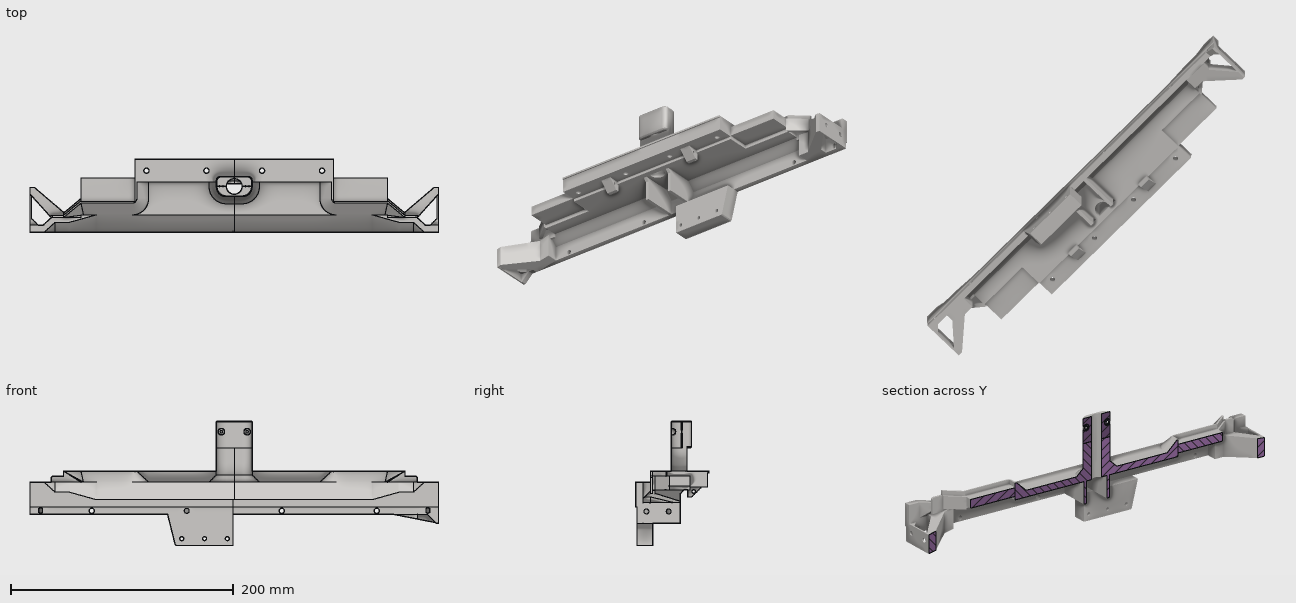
import cadquery as cq
import math

HALF_LENGTH = 183.6
DEPTH = 66.0
HEIGHT = 112.0

BASE_Z = 28.0
STEP_Z = 34.5
STEP_DEPTH = 1.2
DECK_Z = 57.0
DECK_BOTTOM_Z = 50.0
DECK_BACK_Y = 49.0
SLOPE_RUN = 15.8
SLOPE_FOOT_Z = DECK_Z - SLOPE_RUN
FRONT_WALL = 6.5
CAVITY_SLOPE_Z = 42.0
SPLIT_OFFSET = 1.0

SLOPE_END_X = 124.0
SCALLOP_INNER_X = 148.0
SCALLOP_OUTER_X = 161.0
SCALLOP_TIP_X = 171.0
SCALLOP_RUN = 9.1

END_WALL = 1.5
END_WALL_BACK_Y = 40.4
END_WALL_TOP_Z = 46.6
RIGHT_END_DROP = 8.0
END_TOE_X = 173.6
END_TOE_WIDTH = 2.1
POST_X = 172.0
LEDGE_X = 164.5
LEDGE_BACK_Y = 13.3
LEDGE_FIN = 2.1
FIN_TOP_Z = 62.4
FIN_CHAMFER = 1.2
ARM_ROOT_X = 142.7
ARM_ROOT_RISE = 3.0
ARM_TIP_X = 179.5
ARM_ELBOW = (152.5, 17.4)
ARM_INNER_TIP_Y = 34.5
CORNER_GUSSET = 6.0
END_HOLE_D = 4.4
END_HOLE_Y = (9.8, 29.8)
END_HOLE_Z = 38.6

CREST_Z = 66.9
HILL_RISE = CREST_Z - DECK_Z
HILL_RUN = 10.6
HILL_FOOT_X = 77.0
HILL_FOOT_Y = SLOPE_RUN
HILL_CREST_Y = HILL_FOOT_Y + HILL_RUN
HILL_CORNER_R = 14.5
HILL_END_X = 137.8
HILL_LIP = 1.2
HORN_FOOT_X = 135.5
HILL_HORN = (153.5, LEDGE_BACK_Y)
HORN_WALL = 2.0
HORN_BASE_WALL = 4.1

PLATFORM_BOTTOM_Z = 53.5
PLATFORM_TOP_Z = FIN_TOP_Z

RAIL_HALF = 89.3
RAIL_FRONT_Y = 45.4
RAIL_BOTTOM_Z = 52.6
RAIL_LIP = 1.2
RAIL_LIP_Z = 65.3
RAIL_HOLE_D = 4.5
RAIL_HOLE_X = (25.0, 78.9)
RAIL_HOLE_Y = 55.5
LUG_X = 40.0
LUG_WIDTH = 10.0
LUG_BOTTOM_Z = 43.5
LUG_FRONT_Y = 46.8
LUG_TOE = 3.5
LUG_BACK_Y = LUG_FRONT_Y + LUG_TOE + RAIL_BOTTOM_Z - LUG_BOTTOM_Z
LUG_HOLE_D = 3.0
LUG_HOLE_Y = 52.3
LUG_HOLE_Z = 48.5

TOWER_HALF = 16.2
TOWER_FRONT_Y = 32.1
TOWER_BACK_Y = 46.4
TOWER_ROUND_R = 9.0
TOWER_FLARE = 6.4
TOWER_RIB = 3.0
TOWER_RIB_X = 11.0
TOWER_RIB_BACK_Y = 43.5
CLAMP_Y = TOWER_FRONT_Y + TOWER_ROUND_R
CLAMP_Z = 87.7
CLAMP_GAP = 0.8
TOP_CHAMFER = 0.8
BUMP_BACK_Y = 50.5
BUMP_CORNER_R = 4.0
BUMP_BOTTOM_CHAMFER = 1.2
BORE_D = 14.0
BORE_Y = 41.4
BORE_BACK_Y = 43.7

SCREW_X = 11.6
SCREW_Z = 102.3
SCREW_SEAT_D = 6.0
SCREW_HEAD_D = 5.5
SCREW_D = 3.0
SCREW_SOCKET_D = 2.5
SCREW_SOCKET_DEPTH = 2.0
SCREW_HEAD_Y = 36.0
SCREW_SEAT_Y = 39.0
SCREW_TIP_Y = 45.0

FRONT_HOLE_D = 4.5
FRONT_HOLE_X = (42.7, 128.1)
FRONT_HOLE_Z = 31.2
BLIND_HOLE_DEPTH = 3.0
SLOT_X = 173.9
SLOT_WIDTH = 3.4
SLOT_HEIGHT = 5.0
SLOT_Z = 31.5
FOOT_TOP_X = -60.0
FOOT_BOTTOM_X = -53.0
FOOT_BACK_Y = 15.5
FOOT_CHAMFER = 0.8
FOOT_HOLE_D = 3.4
FOOT_HOLE_X = (-47.2, -26.7, -6.2)
FOOT_HOLE_Z = 6.2


def box(x_range, y_range, z_range):
    """Box between two limits along each axis."""
    size = [high - low for low, high in (x_range, y_range, z_range)]
    low_corner = (x_range[0], y_range[0], z_range[0])
    return cq.Workplane("XY").box(*size, centered=False).translate(low_corner)


def plan_prism(points, z_range):
    """Prism with an outline in X and Y."""
    outline = cq.Workplane("XY").workplane(offset=z_range[0]).polyline(points).close()
    return outline.extrude(z_range[1] - z_range[0])


def front_prism(points, y_range):
    """Prism with an outline in X and Z."""
    outline = cq.Workplane("XZ", origin=(0, y_range[0], 0)).polyline(points).close()
    return outline.extrude(y_range[0] - y_range[1])


def side_prism(points, x_range):
    """Prism with an outline in Y and Z."""
    outline = cq.Workplane("YZ", origin=(x_range[0], 0, 0)).polyline(points).close()
    return outline.extrude(x_range[1] - x_range[0])


def rod_y(diameter, x, z, y_range):
    """Round bar along Y."""
    plane = cq.Workplane("XZ", origin=(x, y_range[0], z))
    return plane.circle(diameter / 2).extrude(y_range[0] - y_range[1])


def rod_x(diameter, y, z, x_range):
    """Round bar along X."""
    plane = cq.Workplane("YZ", origin=(x_range[0], y, z))
    return plane.circle(diameter / 2).extrude(x_range[1] - x_range[0])


def polyhedron(faces):
    """Solid closed by flat faces, each a list of corner points."""
    flat_faces = []
    for corners in faces:
        points = [cq.Vector(*corner) for corner in corners]
        flat_faces.append(cq.Face.makeFromWires(cq.Wire.makePolygon(points, close=True)))
    return cq.Workplane(cq.Solid.makeSolid(cq.Shell.makeShell(flat_faces)))


def slope_corners(x, run):
    """Corner, front and back points of the 45 degree triangle cut from the front top edge."""
    return (x, 0, DECK_Z), (x, 0, DECK_Z - run), (x, run, DECK_Z)


def slope_cutter():
    """Material removed above the sloped face and its scalloped end, left half."""
    stations = [
        slope_corners(0, SLOPE_RUN),
        slope_corners(-SLOPE_END_X, SLOPE_RUN),
        slope_corners(-SCALLOP_INNER_X, SCALLOP_RUN),
        slope_corners(-SCALLOP_OUTER_X, SCALLOP_RUN),
    ]
    faces = [stations[0]]
    for near, far in zip(stations, stations[1:]):
        for a, b in ((0, 1), (1, 2), (2, 0)):
            faces.append([near[a], near[b], far[b], far[a]])
    last = stations[-1]
    tip = (-SCALLOP_TIP_X, 0, DECK_Z)
    faces.append([last[1], last[2], tip])
    faces.append([last[0], last[1], tip])
    faces.append([last[2], last[0], tip])
    return polyhedron(faces)


def cavity(x_range):
    """Hollow below the hood, open at the back and at the bottom."""
    slope = DECK_BOTTOM_Z - CAVITY_SLOPE_Z
    outline = [
        (FRONT_WALL, BASE_Z),
        (FRONT_WALL, CAVITY_SLOPE_Z),
        (FRONT_WALL + slope, DECK_BOTTOM_Z),
        (DEPTH, DECK_BOTTOM_Z),
        (DEPTH, BASE_Z),
    ]
    return side_prism(outline, x_range)


def rib():
    """Cross rib inside the hood, beside the tower bore."""
    span = (-TOWER_RIB_X - TOWER_RIB, -TOWER_RIB_X)
    outline = [
        (0, BASE_Z),
        (0, DECK_BOTTOM_Z),
        (TOWER_RIB_BACK_Y, DECK_BOTTOM_Z),
        (END_WALL_BACK_Y, END_WALL_TOP_Z),
        (END_WALL_BACK_Y, BASE_Z),
    ]
    return side_prism(outline, span).intersect(cavity(span))


def hood_shell():
    """Front wall, sloped face, channel floor and end ledge, hollow underneath."""
    plan = [
        (-HALF_LENGTH, 0),
        (0, 0),
        (0, DECK_BACK_Y),
        (-HILL_END_X, DECK_BACK_Y),
        (-HILL_END_X, LEDGE_BACK_Y),
        (-LEDGE_X, LEDGE_BACK_Y),
        (-POST_X, FRONT_WALL),
        (-HALF_LENGTH, FRONT_WALL),
    ]
    shell = plan_prism(plan, (BASE_Z, DECK_Z)).cut(cavity((-HALF_LENGTH, 0)))
    front_step = box((-HALF_LENGTH, 0), (0, STEP_DEPTH), (BASE_Z, STEP_Z))
    return shell.cut(slope_cutter()).cut(front_step)


def hill():
    """Raised end of the channel with a conical inner corner."""
    far = 2 * HALF_LENGTH
    taper = math.degrees(math.atan(HILL_RUN / HILL_RISE))
    mound = (
        cq.Workplane("XY", origin=(-HILL_FOOT_X - far / 2, HILL_FOOT_Y + far / 2, DECK_Z))
        .sketch().rect(far, far).vertices().fillet(HILL_CORNER_R).finalize()
        .extrude(HILL_RISE, taper=taper)
    )
    limits = box((-HILL_END_X, -HILL_FOOT_X), (HILL_FOOT_Y, RAIL_FRONT_Y), (DECK_Z, CREST_Z))
    return mound.intersect(limits)


def horn_wall(thickness, z_range):
    """Upright wall running diagonally from the hill crest to the tip of the horn."""
    horn_x, horn_y = HILL_HORN
    outline = [
        (-HILL_END_X, HILL_CREST_Y),
        (-horn_x, horn_y),
        (-horn_x, horn_y + thickness),
        (-HILL_END_X, HILL_CREST_Y + thickness),
    ]
    return plan_prism(outline, z_range)


def horn():
    """Wall from the hill crest forward to the ledge, with a sloped facet and a low fin."""
    horn_x, horn_y = HILL_HORN
    crest = (-HILL_END_X, HILL_CREST_Y, CREST_Z)
    tip = (-horn_x, horn_y, CREST_Z)
    foot = (-HORN_FOOT_X, HILL_FOOT_Y, DECK_Z)
    below_crest = (-HILL_END_X, HILL_CREST_Y, DECK_Z)
    below_tip = (-horn_x, horn_y, DECK_Z)
    facet = polyhedron([
        [crest, tip, foot],
        [crest, below_crest, below_tip, tip],
        [tip, below_tip, foot],
        [crest, foot, below_crest],
        [foot, below_tip, below_crest],
    ])
    fin = front_prism(
        [
            (-LEDGE_X, END_WALL_TOP_Z),
            (-LEDGE_X, FIN_TOP_Z - FIN_CHAMFER),
            (-LEDGE_X + FIN_CHAMFER, FIN_TOP_Z),
            (-horn_x, FIN_TOP_Z),
            (-horn_x, CREST_Z),
            (-HILL_END_X, DECK_Z),
            (-HILL_END_X, END_WALL_TOP_Z),
        ],
        (LEDGE_BACK_Y, LEDGE_BACK_Y + LEDGE_FIN),
    )
    upper_wall = horn_wall(HORN_WALL, (FIN_TOP_Z, CREST_Z))
    lower_wall = horn_wall(HORN_BASE_WALL, (DECK_BOTTOM_Z, FIN_TOP_Z))
    return facet.union(upper_wall).union(lower_wall).union(fin)


def rail():
    """Half of the back rail with its lip, screw holes and hinge lug."""
    bar = side_prism(
        [
            (RAIL_FRONT_Y, RAIL_BOTTOM_Z),
            (RAIL_FRONT_Y, CREST_Z),
            (DEPTH, CREST_Z),
            (DEPTH, RAIL_LIP_Z),
            (DEPTH - RAIL_LIP, RAIL_LIP_Z),
            (DEPTH - RAIL_LIP, RAIL_BOTTOM_Z),
        ],
        (-RAIL_HALF, 0),
    )
    lug_span = (-LUG_X - LUG_WIDTH, -LUG_X)
    lug = side_prism(
        [
            (LUG_FRONT_Y, RAIL_BOTTOM_Z),
            (LUG_FRONT_Y, LUG_BOTTOM_Z),
            (LUG_FRONT_Y + LUG_TOE, LUG_BOTTOM_Z),
            (LUG_BACK_Y, RAIL_BOTTOM_Z),
        ],
        lug_span,
    )
    bar = bar.union(lug.cut(rod_x(LUG_HOLE_D, LUG_HOLE_Y, LUG_HOLE_Z, lug_span)))
    holes = cq.Workplane("XY", origin=(0, RAIL_HOLE_Y, RAIL_BOTTOM_Z))
    holes = holes.pushPoints([(-x, 0) for x in RAIL_HOLE_X])
    return bar.cut(holes.circle(RAIL_HOLE_D / 2).extrude(CREST_Z - RAIL_BOTTOM_Z))


def tower_sketch(z):
    """Tower outline: flat back and two rounded front corners."""
    depth = TOWER_BACK_Y - TOWER_FRONT_Y
    return (
        cq.Workplane("XY", origin=(0, TOWER_FRONT_Y + depth / 2, z))
        .sketch().rect(2 * TOWER_HALF, depth).vertices("<Y").fillet(TOWER_ROUND_R).finalize()
    )


def tower_bore():
    """Cable bore: round in the clamp, flat-backed below it."""
    clamp_bore = cq.Workplane("XY", origin=(0, BORE_Y, CLAMP_Z)).circle(BORE_D / 2)
    clamp_bore = clamp_bore.extrude(HEIGHT - CLAMP_Z)
    lower_bore = cq.Workplane("XY", origin=(0, BORE_Y, BASE_Z)).circle(BORE_D / 2)
    lower_bore = lower_bore.extrude(CLAMP_Z - BASE_Z)
    keep = box((-BORE_D, BORE_D), (0, BORE_BACK_Y), (BASE_Z, CLAMP_Z))
    return clamp_bore.union(lower_bore.intersect(keep))


def tower():
    """Whole tower with its flared base and the rear bump of the clamp."""
    column = tower_sketch(DECK_BOTTOM_Z).extrude(HEIGHT - DECK_BOTTOM_Z)
    flare_z = DECK_Z + TOWER_FLARE
    flare = tower_sketch(flare_z).extrude(-TOWER_FLARE, taper=-45)
    flare = flare.intersect(box((-DEPTH, DEPTH), (0, RAIL_FRONT_Y), (DECK_Z, flare_z)))
    bump = box((-TOWER_HALF, TOWER_HALF), (CLAMP_Y, BUMP_BACK_Y), (CLAMP_Z, HEIGHT))
    bump = bump.edges("|Z and >Y").fillet(BUMP_CORNER_R)
    bump = bump.faces("<Z").edges(">Y").chamfer(BUMP_BOTTOM_CHAMFER)
    column = column.union(bump).faces(">Z").edges().chamfer(TOP_CHAMFER)
    return column.union(flare)


def screw_holes():
    """Stepped holes for both clamp screws."""
    holes = cq.Workplane("XY")
    for x in (-SCREW_X, SCREW_X):
        holes = holes.union(rod_y(SCREW_SEAT_D, x, SCREW_Z, (0, SCREW_SEAT_Y)))
        holes = holes.union(rod_y(SCREW_D, x, SCREW_Z, (SCREW_SEAT_Y, SCREW_TIP_Y)))
    return holes


def end_frame(drop):
    """Left end wall, corner gusset and diagonal arm; `drop` lowers the wall and the tip of the arm."""
    bottom_z = BASE_Z - drop
    top_z = END_WALL_TOP_Z - drop
    end_inner_x = -HALF_LENGTH + END_WALL
    wall = box((-HALF_LENGTH, end_inner_x), (FRONT_WALL, END_WALL_BACK_Y), (bottom_z, top_z))
    gusset = plan_prism(
        [
            (end_inner_x, FRONT_WALL),
            (end_inner_x + CORNER_GUSSET, FRONT_WALL),
            (end_inner_x, FRONT_WALL + CORNER_GUSSET),
        ],
        (BASE_Z, top_z),
    )
    arm_plan = [
        (-HALF_LENGTH, END_WALL_BACK_Y),
        (-ARM_TIP_X, END_WALL_BACK_Y),
        (-ARM_ELBOW[0], ARM_ELBOW[1]),
        (-ARM_ROOT_X, ARM_ELBOW[1]),
        (-ARM_ROOT_X, FRONT_WALL),
        (-LEDGE_X, FRONT_WALL),
        (-LEDGE_X, LEDGE_BACK_Y),
        (-HALF_LENGTH, ARM_INNER_TIP_Y),
    ]
    arm_side = [
        (-ARM_ROOT_X, BASE_Z),
        (-ARM_ROOT_X, END_WALL_TOP_Z + ARM_ROOT_RISE),
        (-HALF_LENGTH, top_z),
        (-HALF_LENGTH, bottom_z),
    ]
    arm = plan_prism(arm_plan, (bottom_z, END_WALL_TOP_Z + ARM_ROOT_RISE))
    arm = arm.intersect(front_prism(arm_side, (0, DEPTH)))
    frame = wall.union(gusset).union(arm)
    for y in END_HOLE_Y:
        frame = frame.cut(rod_x(END_HOLE_D, y, END_HOLE_Z - drop, (-HALF_LENGTH, end_inner_x)))
    return frame


def right_end_toe():
    """Tapered toe that carries the front wall down to the lowered right end."""
    bottom_z = BASE_Z - RIGHT_END_DROP
    outline = [
        (END_TOE_X, BASE_Z),
        (HALF_LENGTH, BASE_Z),
        (HALF_LENGTH, bottom_z),
        (HALF_LENGTH - END_TOE_WIDTH, bottom_z),
    ]
    return front_prism(outline, (STEP_DEPTH, FRONT_WALL))


def platform_block():
    """Block lying behind the rim of the left hill."""
    return box(
        (-HILL_END_X, -RAIL_HALF),
        (HILL_CREST_Y + HILL_LIP, DECK_BACK_Y),
        (PLATFORM_BOTTOM_Z, PLATFORM_TOP_Z),
    )


def platform_pocket():
    """Open pocket that the platform block sits in."""
    return box(
        (-HILL_END_X, -RAIL_HALF),
        (HILL_CREST_Y + HILL_LIP, DEPTH),
        (DECK_BOTTOM_Z, CREST_Z),
    )


def hood_half(drop):
    """Left half of the hood, with the features that both halves share."""
    half = hood_shell().union(hill()).union(horn())
    half = half.cut(platform_pocket()).union(rail())
    half_tower = tower().intersect(box((-DEPTH, 0), (0, DEPTH), (0, HEIGHT)))
    clamp_space = box((-DEPTH, 0), (0, CLAMP_Y + CLAMP_GAP), (CLAMP_Z, HEIGHT))
    half = half.union(rib()).union(half_tower.cut(clamp_space))
    half = half.cut(tower_bore()).cut(screw_holes())
    half = half.union(end_frame(drop))
    slot = (
        cq.Workplane("XZ", origin=(-SLOT_X, 0, SLOT_Z))
        .slot2D(SLOT_HEIGHT, SLOT_WIDTH, 90).extrude(-FRONT_WALL)
    )
    half = half.cut(slot)
    return half.cut(rod_y(FRONT_HOLE_D, -FRONT_HOLE_X[1], FRONT_HOLE_Z, (0, FRONT_WALL)))


def foot():
    """Mounting foot below the front wall, with a slanted outer side."""
    block = front_prism(
        [
            (FOOT_TOP_X, BASE_Z),
            (FOOT_BOTTOM_X, 0),
            (-SPLIT_OFFSET, 0),
            (-SPLIT_OFFSET, BASE_Z),
        ],
        (STEP_DEPTH, FOOT_BACK_Y),
    )
    block = block.faces("<Z").edges("<X").chamfer(FOOT_CHAMFER)
    for x in FOOT_HOLE_X:
        block = block.cut(rod_y(FOOT_HOLE_D, x, FOOT_HOLE_Z, (0, FOOT_BACK_Y)))
    return block


def split_tongue():
    """Part of the front wall where the right half reaches past the middle."""
    tongue = box((-SPLIT_OFFSET, 0), (0, FRONT_WALL), (BASE_Z, SLOPE_FOOT_Z))
    return tongue.cut(box((-SPLIT_OFFSET, 0), (0, STEP_DEPTH), (BASE_Z, STEP_Z)))


def front_clamp():
    """Removable front half of the tower top."""
    space = box((-DEPTH, DEPTH), (0, CLAMP_Y), (CLAMP_Z, HEIGHT))
    return tower().intersect(space).cut(tower_bore()).cut(screw_holes())


def clamp_screw(x):
    """Socket head screw along Y."""
    head = rod_y(SCREW_HEAD_D, x, SCREW_Z, (SCREW_HEAD_Y, SCREW_SEAT_Y))
    shank = rod_y(SCREW_D, x, SCREW_Z, (SCREW_SEAT_Y, SCREW_TIP_Y))
    socket = cq.Workplane("XZ", origin=(x, SCREW_HEAD_Y, SCREW_Z)).polygon(6, SCREW_SOCKET_D)
    return head.union(shank).cut(socket.extrude(-SCREW_SOCKET_DEPTH))


blind_hole = rod_y(FRONT_HOLE_D, -FRONT_HOLE_X[0], FRONT_HOLE_Z, (0, STEP_DEPTH + BLIND_HOLE_DEPTH))
left_hood = hood_half(0).cut(split_tongue()).union(foot()).cut(blind_hole)

through_hole = rod_y(FRONT_HOLE_D, FRONT_HOLE_X[0], FRONT_HOLE_Z, (0, FRONT_WALL))
right_hood = hood_half(RIGHT_END_DROP).mirror("YZ").union(split_tongue())
right_hood = right_hood.union(right_end_toe()).cut(through_hole)

clamp = front_clamp()
left_platform = platform_block()
platforms = [left_platform, left_platform.mirror("YZ")]
screws = [clamp_screw(x) for x in (-SCREW_X, SCREW_X)]

result = cq.Compound.makeCompound([
    left_hood.val(),
    right_hood.val(),
    clamp.val(),
    *[platform.val() for platform in platforms],
    *[screw.val() for screw in screws],
])